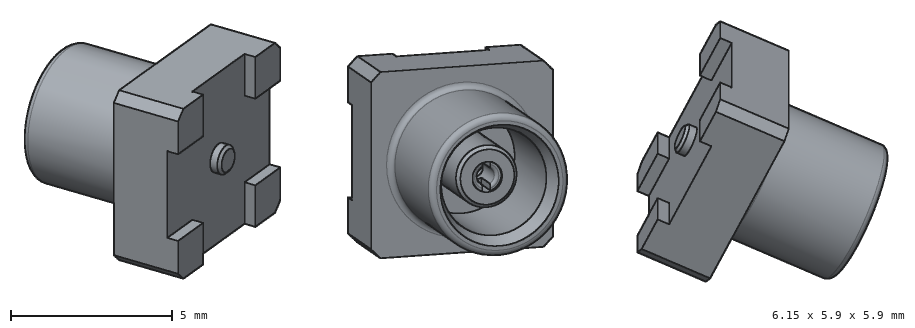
import cadquery as cq

total_length = 6.15
flange_front = 3.8
flange_width = 5.9
flange_corner = 0.31
barrel_radius = 2.25
edge_round = 0.2

relief_depth = 0.395
relief_width = 3.01

mouth_radius = 1.92
bore_radius = 1.705
mouth_depth = 0.57
bore_depth = flange_front

boss_front = 1.23
boss_radius = 0.985
boss_chamfer = 0.11

contact_radius = 0.48
contact_recess = 0.1
contact_front = boss_front + contact_recess
contact_hole_radius = 0.28
contact_mouth_radius = 0.395
contact_hole_depth = 1.23
contact_cone_depth = 0.165
slot_width = 0.265
slot_depth = 0.92
tail_end = 6.115
tail_chamfer = 0.1


def disc(start, end, radius):
    """Cylinder on the X axis between two X positions."""
    return cq.Workplane("YZ", origin=(start, 0, 0)).circle(radius).extrude(end - start)


def make_flange():
    flange_length = total_length - flange_front
    flange = (
        cq.Workplane("YZ", origin=(flange_front, 0, 0))
        .rect(flange_width, flange_width)
        .extrude(flange_length)
        .edges("|X")
        .chamfer(flange_corner)
    )
    relief_center = total_length - relief_depth / 2
    for size_y, size_z in ((relief_width, flange_width), (flange_width, relief_width)):
        relief = cq.Workplane("XY").box(relief_depth, size_y, size_z)
        flange = flange.cut(relief.translate((relief_center, 0, 0)))
    return flange


def make_barrel():
    """Barrel with a rounded front rim and a concave round into the flange."""
    profile = (
        cq.Workplane("XY")
        .moveTo(0, 0)
        .lineTo(0, barrel_radius - edge_round)
        .radiusArc((edge_round, barrel_radius), edge_round)
        .lineTo(flange_front - edge_round, barrel_radius)
        .radiusArc((flange_front, barrel_radius + edge_round), -edge_round)
        .lineTo(flange_front, 0)
        .close()
    )
    return profile.revolve(360, (0, 0, 0), (1, 0, 0))


def make_bore():
    profile = cq.Workplane("XY").polyline([
        (0, 0),
        (0, mouth_radius),
        (mouth_depth, bore_radius),
        (bore_depth, bore_radius),
        (bore_depth, 0),
    ]).close()
    return profile.revolve(360, (0, 0, 0), (1, 0, 0))


def make_boss():
    return disc(boss_front, bore_depth, boss_radius).faces("<X").chamfer(boss_chamfer)


def make_contact_socket():
    """Cutter for the recess, the flared cone-bottomed hole and the slot along Z."""
    mouth_flare = contact_mouth_radius - contact_hole_radius
    hole_end = contact_front + contact_hole_depth
    hole = (
        cq.Workplane("XY")
        .moveTo(contact_front, 0)
        .lineTo(contact_front, contact_mouth_radius)
        .radiusArc((contact_front + mouth_flare, contact_hole_radius), -mouth_flare)
        .lineTo(hole_end, contact_hole_radius)
        .lineTo(hole_end + contact_cone_depth, 0)
        .close()
        .revolve(360, (0, 0, 0), (1, 0, 0))
    )
    slot_end = contact_front + slot_depth
    slot = (
        cq.Workplane("YZ", origin=(contact_front, 0, 0))
        .rect(slot_width, 2 * contact_radius)
        .extrude(slot_depth)
        .intersect(disc(contact_front, slot_end, contact_radius))
    )
    recess = disc(boss_front, contact_front, contact_radius)
    return hole.union(slot).union(recess)


def make_tail():
    tail = disc(bore_depth, tail_end, contact_radius)
    return tail.faces(">X").chamfer(tail_chamfer)


body = make_flange().union(make_barrel()).cut(make_bore()).union(make_boss())
body = body.cut(make_contact_socket())
result = body.union(make_tail())